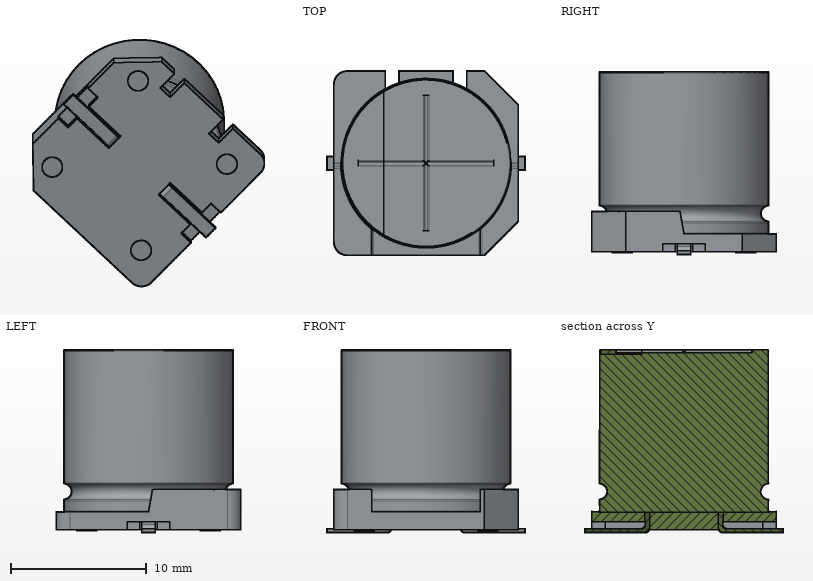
import cadquery as cq

base_side = 13.6
half_side = base_side / 2
base_corner_radius = 1.01
base_chamfer = 2.5
ledge_height = 1.33
wall_height = 3.0
wall_end_lean = 0.29
window_width = 8.0
edge_radius = 0.1
notch_offset = 2.5
notch_width = 1.01
notch_depth = 1.5
foot_diameter = 1.5
foot_height = 0.05
foot_offset = 4.55
seat_clearance = 0.05

lead_reach = 7.3
lead_width = 1.01
lead_thickness = 0.3
lead_drop = 0.2
lead_bend_radius = 0.3
lead_inner_face = 2.55
lead_outer_face = lead_inner_face + lead_thickness

recess_width = 3.17
recess_depth = 1.01
recess_height = 0.6
lead_slot_width = 1.25

can_radius = 6.25
can_top = 13.3
crimp_height = 2.83
crimp_radius = 0.57
score_length = 10.0
score_radius = 0.1

mark_radius = can_radius - edge_radius
mark_edge = 3.12
mark_thickness = 0.3


def box_between(x_min, x_max, y_min, y_max, z_min, z_max):
    size = (x_max - x_min, y_max - y_min, z_max - z_min)
    return cq.Workplane("XY").box(*size, centered=False).translate((x_min, y_min, z_min))


def stepped_block():
    """Plate and raised wall in one side outline; the wall ends lean forward."""
    outline = (
        cq.Workplane("YZ")
        .moveTo(-half_side, 0)
        .lineTo(half_side, 0)
        .lineTo(half_side, ledge_height)
        .lineTo(0, ledge_height)
        .lineTo(-wall_end_lean, wall_height)
        .lineTo(-half_side, wall_height)
        .close()
        .extrude(half_side, both=True)
    )
    margin = 0.15
    leaning_face = cq.selectors.BoxSelector(
        (-half_side, -wall_end_lean - margin, ledge_height - margin),
        (half_side, margin, wall_height + margin),
    )
    return outline.edges("|X").edges(leaning_face).fillet(edge_radius)


def window_tool():
    """Opening in the front of the wall, flared at its top to round the wall's rims."""
    flare_height = wall_height - ledge_height
    half_window = window_width / 2
    half_flare = half_window + flare_height
    flare_top = wall_height + flare_height
    opening = box_between(-half_window, half_window, -half_side, 0, ledge_height, flare_top)
    flare = box_between(-half_flare, half_flare, -half_side, 0, wall_height, flare_top)
    return opening.union(flare).edges("|Y").fillet(edge_radius)


def can_seat():
    seat = cq.Workplane("XY", origin=(0, 0, ledge_height)).circle(can_radius + seat_clearance)
    return seat.extrude(wall_height)


def rear_notches():
    return (
        cq.Workplane("XY", origin=(0, half_side - notch_depth / 2, 0))
        .pushPoints([(-notch_offset, 0), (notch_offset, 0)])
        .rect(notch_width, notch_depth)
        .extrude(ledge_height)
    )


def feet():
    return (
        cq.Workplane("XY")
        .rect(2 * foot_offset, 2 * foot_offset, forConstruction=True)
        .vertices()
        .circle(foot_diameter / 2)
        .extrude(-foot_height)
    )


def lead_hollows():
    """Recess, slot and upright hole for the +X lead."""
    recess = box_between(
        half_side - recess_depth, half_side, -recess_width / 2, recess_width / 2, 0, recess_height
    )
    slot = box_between(
        lead_inner_face, half_side, -lead_slot_width / 2, lead_slot_width / 2, 0, recess_height
    )
    upright_hole = box_between(
        lead_inner_face, lead_outer_face, -lead_width / 2, lead_width / 2, 0, ledge_height
    )
    return recess.union(slot).union(upright_hole)


def make_base():
    block = stepped_block().cut(window_tool())
    block = block.edges("|Z and <X").fillet(base_corner_radius)
    block = block.edges("|Z and >X").chamfer(base_chamfer)
    block = block.cut(can_seat()).cut(rear_notches())
    block = block.cut(lead_hollows()).cut(lead_hollows().mirror("YZ"))
    return block.union(feet())


def make_lead(turn):
    """L-shaped strip on the +X side, turned about Z to its place."""
    bottom = -lead_drop
    top = bottom + lead_thickness
    strip = (
        cq.Workplane("XZ")
        .moveTo(lead_reach, bottom)
        .lineTo(lead_inner_face, bottom)
        .lineTo(lead_inner_face, ledge_height)
        .lineTo(lead_outer_face, ledge_height)
        .lineTo(lead_outer_face, top)
        .lineTo(lead_reach, top)
        .close()
        .extrude(lead_width / 2, both=True)
    )
    bend = cq.selectors.BoxSelector(
        (0, -lead_width, bottom - lead_thickness),
        (lead_outer_face + lead_thickness, lead_width, top + lead_thickness),
    )
    strip = strip.edges("|Y").edges(bend).fillet(lead_bend_radius)
    return strip.rotate((0, 0, 0), (0, 0, 1), turn)


def can_body():
    """Revolved can, with every rim and both lips of the crimp rounded."""
    body = (
        cq.Workplane("XZ")
        .moveTo(0, ledge_height)
        .lineTo(can_radius, ledge_height)
        .lineTo(can_radius, crimp_height - crimp_radius)
        .threePointArc(
            (can_radius - crimp_radius, crimp_height), (can_radius, crimp_height + crimp_radius)
        )
        .lineTo(can_radius, can_top)
        .lineTo(0, can_top)
        .close()
        .revolve(360, (0, 0, 0), (0, 1, 0))
    )
    return body.edges("%CIRCLE").fillet(edge_radius)


def score_line(plane):
    """One straight score: rounded rims run into a rounded bottom."""
    middle = can_top - score_radius
    return (
        cq.Workplane(plane)
        .moveTo(-2 * score_radius, can_top)
        .radiusArc((-score_radius, middle), score_radius)
        .radiusArc((0, middle - score_radius), -score_radius)
        .radiusArc((score_radius, middle), -score_radius)
        .radiusArc((2 * score_radius, can_top), score_radius)
        .close()
        .extrude(score_length / 2, both=True)
    )


def mark_segment():
    disc = cq.Workplane("XY", origin=(0, 0, can_top - mark_thickness)).circle(mark_radius)
    left_of_edge = box_between(-can_radius, -mark_edge, -can_radius, can_radius, 0, can_top)
    return disc.extrude(mark_thickness).intersect(left_of_edge)


def cut_scores(body):
    return body.cut(score_line("YZ")).cut(score_line("XZ"))


base = make_base()
leads = [make_lead(turn) for turn in (0, 180)]
can = cut_scores(can_body().cut(mark_segment()))
polarity_mark = cut_scores(mark_segment())

result = cq.Compound.makeCompound(
    [base.val(), *[lead.val() for lead in leads], can.val(), polarity_mark.val()]
)